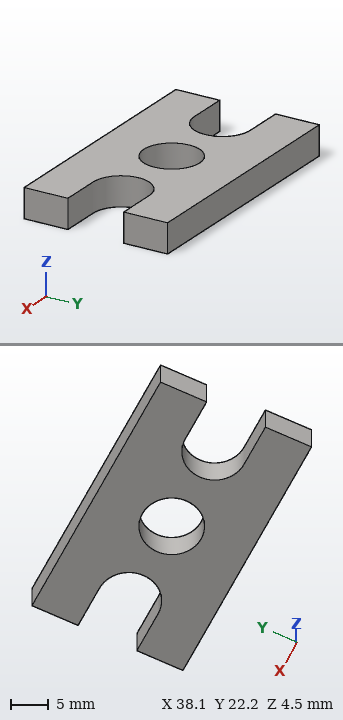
import cadquery as cq

length = 38.1
width = 22.23
thickness = 4.5

bore_diameter = 8.64
bore_radius = bore_diameter / 2
slot_center_inset = 6.35


def bottom_plane():
    """Workplane on the underside of the plate."""
    return cq.Workplane("XY").workplane(offset=-thickness / 2)


def make_plate():
    return bottom_plane().rect(length, width).extrude(thickness)


def make_hole():
    return bottom_plane().circle(bore_radius).extrude(thickness)


def make_end_slot(side):
    """Round-ended slot open through the end face at side (-1 or +1) along X."""
    end_x = side * length / 2
    center_x = end_x - side * slot_center_inset
    round_tip_x = center_x - side * bore_radius
    return (
        bottom_plane()
        .moveTo(end_x, bore_radius)
        .lineTo(center_x, bore_radius)
        .threePointArc((round_tip_x, 0), (center_x, -bore_radius))
        .lineTo(end_x, -bore_radius)
        .close()
        .extrude(thickness)
    )


result = make_plate().cut(make_hole())
for side in (-1, 1):
    result = result.cut(make_end_slot(side))